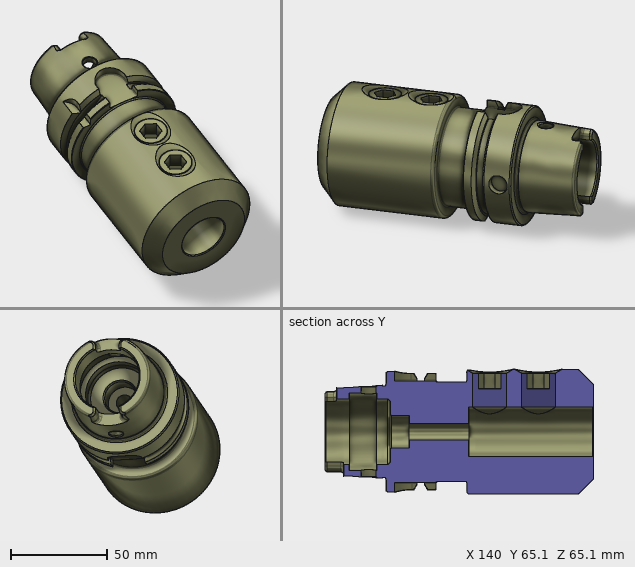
import cadquery as cq
import math

tip_x = -31.95
nose_x = 108.0
clearance = 1.0

taper_d = 48.04
taper_gauge_x = -6.3
taper_ratio = 9.98
taper_end_x = -2.0
relief_d = 47.8
relief_chamfer = 0.3
relief_fillet = 0.8
relief_mouth_d = 51.2
relief_mouth_depth = 0.3
tip_fillet = 1.1

flange_d = 63.0
flange_end_x = 26.0
flange_chamfer = 0.7
flange_end_chamfer = 0.3
groove_d = 55.0
groove_x = 18.0
groove_bottom_w = 3.75
groove_top_w = 7.0
groove_flank_depth = (groove_top_w - groove_bottom_w) / 2 / math.tan(math.radians(30))

neck_d = 52.0
neck_fillet = 0.7
head_d = 65.1
head_x = 41.8
head_back_fillet = 1.6
nose_d = 49.5
nose_chamfer = (head_d - nose_d) / 2

shank_bore_d = 34.0
shank_bore_chamfer = 0.7
undercut_d = 40.0
undercut_x = tip_x + 12.8
undercut_end_x = -5.0
shank_floor_x = 2.0
floor_d = 31.6
tube_bore_d = 16.92
tube_bore_chamfer = 0.7
tube_bore_depth = 10.0
through_d = 8.4
tool_bore_d = 25.4
tool_bore_depth = 65.0
tool_bore_chamfer = 0.51

drive_slot_w = 12.54
drive_slot_depths = {1: 6.1, -1: 9.8}
drive_corner_r = 3.0
drive_shelf_z = 20.9
drive_floor_fillet = 1.5
drive_edge_chamfer = 1.1
shank_hole_d = 7.5
shank_hole_sink_z = 23.25
shank_hole_x = -9.1

keyway_floor_z = 26.5
keyway_start_x = 4.5
keyway_floor_fillet = 0.4
keyway_widths = {1: 16.8, -1: 18.0}
notch_x = 12.1
notch_y = -20.0
notch_z = 20.0
notch_r = 8.0
groove_flat_angle = 140.7
groove_flat_distance = 22.5

chip_hole_d = 10.0
chip_hole_depth = 4.6
chip_hole_x = 6.8

screw_spacing = 25.4
screw_first_x = 53.8
screw_xs = [screw_first_x + i * screw_spacing for i in range(2)]
screw_hole_d = 17.32
screw_top_z = 30.5
screw_chamfer = 0.2
sink_half_angle = 60.0
hex_across_flats = 10.0
hex_depth = 8.0


def revolve_about_x(profile):
    return profile.close().revolve(360, (0, 0, 0), (1, 0, 0))


def x_cylinder(diameter, start_x, end_x):
    return cq.Workplane("YZ", origin=(start_x, 0, 0)).circle(diameter / 2).extrude(end_x - start_x)


def x_cone(start_x, start_d, end_x, end_d):
    profile = (
        cq.Workplane("XY")
        .moveTo(start_x, 0)
        .lineTo(start_x, start_d / 2)
        .lineTo(end_x, end_d / 2)
        .lineTo(end_x, 0)
    )
    return revolve_about_x(profile)


def taper_radius(x):
    return (taper_d + (x - taper_gauge_x) / taper_ratio) / 2


def outer_shape():
    tip_r = taper_radius(tip_x)
    taper_end_r = taper_radius(taper_end_x)
    flange_r = flange_d / 2
    groove_r = groove_d / 2
    flank_r = flange_r - groove_flank_depth
    neck_r = neck_d / 2
    head_r = head_d / 2
    relief_r = relief_d / 2
    arc = math.sqrt(0.5)

    def concave_step(w, x, low_r, fillet):
        """Finish at the top of a fillet that climbs from radius low_r to the face at x."""
        return w.lineTo(x - fillet, low_r).threePointArc(
            (x - fillet + arc * fillet, low_r + fillet - arc * fillet), (x, low_r + fillet)
        )

    w = cq.Workplane("XY").moveTo(tip_x, 0).lineTo(tip_x, tip_r - tip_fillet)
    w = w.threePointArc(
        (tip_x + tip_fillet * (1 - arc), tip_r - tip_fillet * (1 - arc)), (tip_x + tip_fillet, tip_r)
    )
    w = w.lineTo(taper_end_x, taper_end_r)
    w = w.lineTo(taper_end_x + relief_chamfer, relief_r)
    w = concave_step(w, -relief_mouth_depth, relief_r, relief_fillet)
    w = w.lineTo(0, relief_mouth_d / 2)
    w = w.lineTo(0, flange_r - flange_chamfer).lineTo(flange_chamfer, flange_r)
    w = (
        w.lineTo(groove_x - groove_top_w / 2, flange_r)
        .lineTo(groove_x - groove_bottom_w / 2, flank_r)
        .lineTo(groove_x - groove_bottom_w / 2, groove_r)
        .lineTo(groove_x + groove_bottom_w / 2, groove_r)
        .lineTo(groove_x + groove_bottom_w / 2, flank_r)
        .lineTo(groove_x + groove_top_w / 2, flange_r)
    )
    w = w.lineTo(flange_end_x - flange_end_chamfer, flange_r)
    w = w.lineTo(flange_end_x, flange_r - flange_end_chamfer)
    w = w.lineTo(flange_end_x, neck_r + neck_fillet).threePointArc(
        (flange_end_x + neck_fillet * (1 - arc), neck_r + neck_fillet * (1 - arc)),
        (flange_end_x + neck_fillet, neck_r),
    )
    w = concave_step(w, head_x, neck_r, neck_fillet)
    w = w.lineTo(head_x, head_r - head_back_fillet).threePointArc(
        (head_x + head_back_fillet * (1 - arc), head_r - head_back_fillet * (1 - arc)),
        (head_x + head_back_fillet, head_r),
    )
    w = w.lineTo(nose_x - nose_chamfer, head_r).lineTo(nose_x, head_r - nose_chamfer).lineTo(nose_x, 0)
    return revolve_about_x(w)


def shank_bore():
    """Bore with entry chamfer, clamping undercut and conical corner at the floor."""
    bore_r = shank_bore_d / 2
    undercut_r = undercut_d / 2
    corner = bore_r - floor_d / 2
    profile = (
        cq.Workplane("XY")
        .moveTo(tip_x, 0)
        .lineTo(tip_x, bore_r + shank_bore_chamfer)
        .lineTo(tip_x + shank_bore_chamfer, bore_r)
        .lineTo(undercut_x, bore_r)
        .lineTo(undercut_x, undercut_r)
        .lineTo(undercut_end_x, undercut_r)
        .lineTo(undercut_end_x, bore_r)
        .lineTo(shank_floor_x - corner, bore_r)
        .lineTo(shank_floor_x, floor_d / 2)
        .lineTo(shank_floor_x, 0)
    )
    return revolve_about_x(profile)


def coolant_bores():
    tube_end_x = shank_floor_x + tube_bore_depth
    chamfer = x_cone(
        shank_floor_x,
        tube_bore_d + 2 * tube_bore_chamfer,
        shank_floor_x + tube_bore_chamfer,
        tube_bore_d,
    )
    tube = x_cylinder(tube_bore_d, shank_floor_x, tube_end_x)
    through = x_cylinder(through_d, shank_floor_x, nose_x)
    return through.union(tube).union(chamfer)


def tool_bore():
    chamfer = x_cone(
        nose_x - tool_bore_chamfer,
        tool_bore_d,
        nose_x,
        tool_bore_d + 2 * tool_bore_chamfer,
    )
    return x_cylinder(tool_bore_d, nose_x - tool_bore_depth, nose_x).union(chamfer)


def drive_slot_section(x, offset):
    """Upper slot section at x, enlarged all round by offset."""
    corner_y = drive_slot_w / 2 + drive_corner_r
    corner_z = drive_shelf_z - drive_corner_r
    radius = drive_corner_r - offset
    arc = radius * math.sqrt(0.5)
    wall_y = corner_y - radius
    shelf_z = corner_z + radius
    outside = flange_d / 2
    return (
        cq.Workplane("YZ", origin=(x, 0, 0))
        .moveTo(-wall_y, 0)
        .lineTo(-wall_y, corner_z)
        .threePointArc((-corner_y + arc, corner_z + arc), (-corner_y, shelf_z))
        .lineTo(-outside, shelf_z)
        .lineTo(-outside, outside)
        .lineTo(outside, outside)
        .lineTo(outside, shelf_z)
        .lineTo(corner_y, shelf_z)
        .threePointArc((corner_y - arc, corner_z + arc), (wall_y, corner_z))
        .lineTo(wall_y, 0)
        .close()
    )


def drive_slot(side):
    """Slot from the shank end whose walls flare outwards round the tooth corners."""
    slot = drive_slot_section(tip_x, 0).extrude(drive_slot_depths[side])
    slot = slot.faces(">X").edges("not(>Z or <Z or >Y or <Y)").fillet(drive_floor_fillet)
    mouth_wire = drive_slot_section(tip_x, drive_edge_chamfer).val()
    inner_wire = drive_slot_section(tip_x + drive_edge_chamfer, 0).val()
    mouth = cq.Solid.makeLoft([mouth_wire, inner_wire], True)
    slot = slot.union(cq.Workplane(mouth))
    return slot if side > 0 else slot.mirror("XY")


def shank_hole(side):
    """Radial hole through one wall of the shank, countersunk from outside."""
    radius = shank_hole_d / 2
    top_z = taper_d / 2 + clearance
    hole = (
        cq.Workplane("XZ")
        .lineTo(radius, 0)
        .lineTo(radius, shank_hole_sink_z)
        .lineTo(radius + top_z - shank_hole_sink_z, top_z)
        .lineTo(0, top_z)
        .close()
        .revolve(360, (0, 0, 0), (0, 1, 0))
        .translate((shank_hole_x, 0, 0))
    )
    return hole if side > 0 else hole.mirror("XY")


def round_ended_slot(start_x, half_width, centre_y, floor_z):
    """Slot with a vertical axis: round at start_x, leaving through the end of the flange."""
    end_x = start_x + half_width
    return (
        cq.Workplane("XY", origin=(0, 0, floor_z))
        .moveTo(flange_end_x, centre_y + half_width)
        .lineTo(end_x, centre_y + half_width)
        .threePointArc((start_x, centre_y), (end_x, centre_y - half_width))
        .lineTo(flange_end_x, centre_y - half_width)
        .close()
        .extrude(flange_d / 2)
    )


def keyway(side):
    slot = round_ended_slot(keyway_start_x, keyway_widths[side] / 2, 0, keyway_floor_z)
    slot = slot.faces("<Z").edges("not >X").fillet(keyway_floor_fillet)
    return slot if side > 0 else slot.mirror("XY")


def index_notch():
    return round_ended_slot(notch_x - notch_r, notch_r, notch_y - notch_r, notch_z)


def chip_hole():
    """Blind hole along Y for a data chip."""
    start_y = flange_d / 2 - chip_hole_depth
    hole = cq.Workplane("XZ", origin=(chip_hole_x, start_y, 0)).circle(chip_hole_d / 2)
    return hole.extrude(-2 * chip_hole_depth)


def groove_flat():
    """Flat cut across the groove bottom beneath the index notch."""
    block = cq.Workplane("XY").box(groove_bottom_w, groove_d, groove_d, centered=(True, False, True))
    block = block.translate((groove_x, groove_flat_distance, 0))
    return block.rotate((0, 0, 0), (1, 0, 0), groove_flat_angle)


def screw_hole(x):
    cone_h = head_d / 2 - screw_top_z + clearance
    mouth_r = screw_hole_d / 2 + cone_h * math.tan(math.radians(sink_half_angle))
    profile = (
        cq.Workplane("XZ")
        .lineTo(screw_hole_d / 2, 0)
        .lineTo(screw_hole_d / 2, screw_top_z)
        .lineTo(mouth_r, screw_top_z + cone_h)
        .lineTo(0, screw_top_z + cone_h)
        .close()
    )
    return profile.revolve(360, (0, 0, 0), (0, 1, 0)).translate((x, 0, 0))


def make_holder():
    body = outer_shape().cut(shank_bore()).cut(coolant_bores()).cut(tool_bore())
    for side in (1, -1):
        body = body.cut(drive_slot(side)).cut(shank_hole(side)).cut(keyway(side))
    body = body.cut(index_notch()).cut(groove_flat()).cut(chip_hole())
    for x in screw_xs:
        body = body.cut(screw_hole(x))
    return body


def make_screw(x):
    """Set screw with a hexagon socket; its lower end is flush with the tool bore."""
    screw = (
        cq.Workplane("XY")
        .circle(screw_hole_d / 2)
        .extrude(screw_top_z)
        .faces(">Z")
        .chamfer(screw_chamfer)
        .faces(">Z")
        .workplane()
        .polygon(6, hex_across_flats / math.cos(math.pi / 6))
        .cutBlind(-hex_depth)
        .translate((x, 0, 0))
    )
    return screw.cut(tool_bore())


holder = make_holder()
screws = [make_screw(x) for x in screw_xs]

result = cq.Compound.makeCompound([holder.val(), *[screw.val() for screw in screws]])